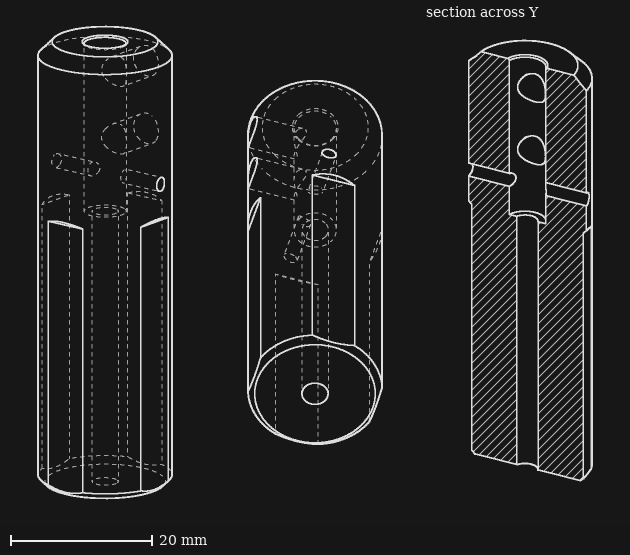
import cadquery as cq
import math

length = 65.0
body_diameter = 19.05
top_chamfer = 2.0
bottom_chamfer = 1.0

flat_width = 6.25
flat_distance = math.sqrt((body_diameter / 2) ** 2 - (flat_width / 2) ** 2)
flat_length = 40.0
cutter_clearance = 0.65

bore_diameter = 3.7
socket_diameter = 6.0
socket_depth = length - flat_length
socket_chamfer = 0.25

cross_hole_diameter = 2.0
cross_hole_y = 0.8
cross_hole_z = 45.5

side_hole_diameter = 4.5
side_hole_top_inset = 5.0
side_hole_pitch = 2 * side_hole_top_inset
side_hole_count = 2


def make_body():
    body = cq.Workplane("XY").circle(body_diameter / 2).extrude(length)
    body = body.faces(">Z").chamfer(top_chamfer)
    return body.faces("<Z").chamfer(bottom_chamfer)


def cut_flats(body):
    outer = body_diameter / 2 + cutter_clearance
    cutter = (
        cq.Workplane("XZ")
        .polyline([
            (flat_distance, 0),
            (outer, 0),
            (outer, flat_length + outer - flat_distance),
            (flat_distance, flat_length),
        ])
        .close()
        .extrude(body_diameter / 2, both=True)
    )
    for angle in (0, 90, 180, 270):
        body = body.cut(cutter.rotate((0, 0, 0), (0, 0, 1), angle))
    return body


def cut_bore(body):
    bore = cq.Workplane("XY").circle(bore_diameter / 2).extrude(length)
    socket = (
        cq.Workplane("XY", origin=(0, 0, length - socket_depth))
        .circle(socket_diameter / 2)
        .extrude(socket_depth)
    )
    mouth = (
        cq.Workplane("XY", origin=(0, 0, length))
        .circle(socket_diameter / 2 + socket_chamfer)
        .extrude(-socket_chamfer, taper=45)
    )
    return body.cut(bore).cut(socket).cut(mouth)


def cut_cross_hole(body):
    hole = (
        cq.Workplane("YZ")
        .center(cross_hole_y, cross_hole_z)
        .circle(cross_hole_diameter / 2)
        .extrude(body_diameter / 2, both=True)
    )
    return body.cut(hole)


def cut_side_holes(body):
    for index in range(side_hole_count):
        height = length - side_hole_top_inset - index * side_hole_pitch
        hole = (
            cq.Workplane("XZ", origin=(0, 0, height))
            .circle(side_hole_diameter / 2)
            .extrude(-body_diameter / 2)
        )
        body = body.cut(hole)
    return body


body = cut_flats(make_body())
body = cut_bore(body)
body = cut_cross_hole(body)
result = cut_side_holes(body)